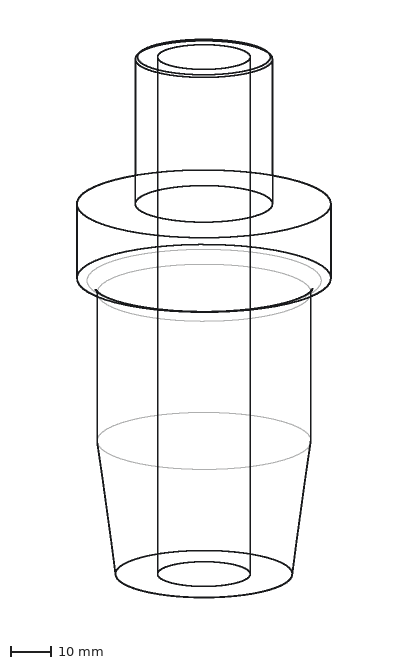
import cadquery as cq
import math

total_length = 133.0

flange_diameter = 63.0
body_diameter = 53.1
tip_diameter = 43.9
spigot_diameter = 34.0
bore_diameter = 23.0

taper_height = 34.3
flange_height = 19.2
spigot_height = 37.8
spigot_chamfer = 0.5

underside_angle = math.radians(12)
fillet_radius = 3.2

flange_top = total_length - spigot_height
flange_bottom = flange_top - flange_height

tip_radius = tip_diameter / 2
body_radius = body_diameter / 2
flange_radius = flange_diameter / 2
spigot_radius = spigot_diameter / 2
bore_radius = bore_diameter / 2

fillet_outer_radius = body_radius + fillet_radius * (1 - math.sin(underside_angle))
fillet_top = flange_bottom - (flange_radius - fillet_outer_radius) * math.tan(underside_angle)
fillet_bottom = fillet_top - fillet_radius * math.cos(underside_angle)


def half_profile():
    """Radial section of the part, from the bore wall to the outer surface."""
    return (
        cq.Workplane("XZ")
        .moveTo(bore_radius, 0)
        .lineTo(tip_radius, 0)
        .lineTo(body_radius, taper_height)
        .lineTo(body_radius, fillet_bottom)
        .radiusArc((fillet_outer_radius, fillet_top), fillet_radius)
        .lineTo(flange_radius, flange_bottom)
        .lineTo(flange_radius, flange_top)
        .lineTo(spigot_radius, flange_top)
        .lineTo(spigot_radius, total_length - spigot_chamfer)
        .lineTo(spigot_radius - spigot_chamfer, total_length)
        .lineTo(bore_radius, total_length)
        .close()
    )


result = half_profile().revolve(360, (0, 0, 0), (0, 1, 0))